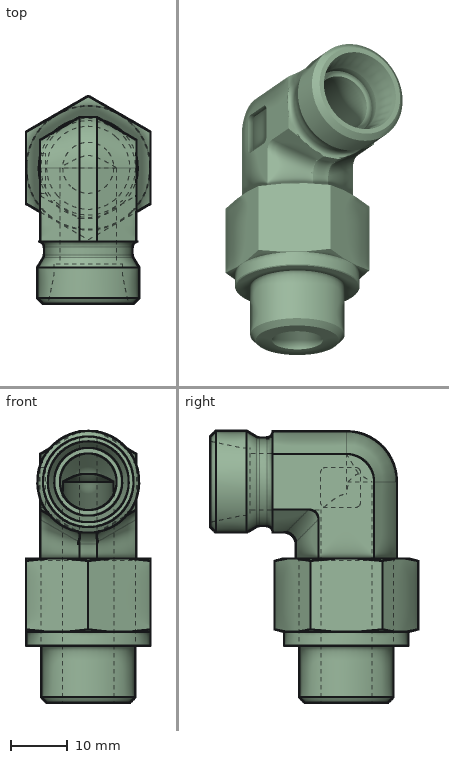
import cadquery as cq
import math


HEX_HALF_SECTOR = math.radians(30)

TOLERANCE = 1e-4

BODY_WIDTH = 17.0
CORNER_FLAT = 3.0
INNER_BEND_RADIUS = 2.0
SHOULDER_Y = -13.0

END_Y = -24.0
END_DIAMETER = 18.0
END_CHAMFER = 1.0
GROOVE_DIAMETER = 15.7
GROOVE_FILLET = 1.0
CONE_BACK_END_Y = -17.6
CONE_BACK_ANGLE = math.radians(30)
SEAT_MOUTH_DIAMETER = 14.3
SEAT_HALF_ANGLE = math.radians(12)
TUBE_DIAMETER = 12.0
TUBE_DEPTH = 7.0

INLET_BORE = 10.0
STUD_BORE = 9.0
DRILL_HALF_ANGLE = math.radians(59)

STUD_END_Z = -39.0
STUD_DIAMETER = 16.66
STUD_CHAMFER = 1.0

PANEL_SIZE = 7.1
PANEL_CORNER_RADIUS = 1.0
PANEL_DEPTH = 1.0
PANEL_CENTER = (-1.0, -1.0)

NUT_WIDTH = 22.0
NUT_TOP_Z = -13.5
NUT_HEX_BOTTOM_Z = -26.5
NUT_BOTTOM_Z = -29.0
NUT_FACE_DIAMETER = 21.9
NUT_CHAMFER_ANGLE = math.radians(15)
COLLAR_DIAMETER = 22.0
COLLAR_CHAMFER = 0.15
NUT_MOUTH_DIAMETER = 17.5


INLET_PLANE = cq.Plane(origin=(0, 0, 0), xDir=(0, 0, 1), normal=(-1, 0, 0))
STUD_PLANE = cq.Plane.named("YZ")


def turned_about_y(profile):
    """Revolve an open (radius, y) profile, once closed, around the Y axis."""
    return profile.close().revolve(360, (0, 0), (0, 1))


def turned_about_z(points):
    """Revolve a polygon of (radius, z) points around the Z axis."""
    return cq.Workplane(STUD_PLANE).polyline(points).close().revolve(360, (0, 0), (0, 1))


def body_section_half():
    """Corner points of the section half on the outer side of the bend."""
    half_width = BODY_WIDTH / 2
    side_edge = half_width * math.tan(HEX_HALF_SECTOR)
    half_flat = CORNER_FLAT / 2
    tip = 2 * side_edge - half_flat * math.tan(HEX_HALF_SECTOR)
    return [(half_width, side_edge), (half_flat, tip), (-half_flat, tip), (-half_width, side_edge)]


def make_elbow_block():
    """Two legs, the rounded outer bend and the filleted inner mitre."""
    upper = body_section_half()
    section = upper + [(-x, -y) for x, y in upper]
    half_width = BODY_WIDTH / 2
    bend_section = [(half_width, 0)] + upper + [(-half_width, 0)]

    flare_end_y = SHOULDER_Y - GROOVE_FILLET
    inlet_leg = cq.Workplane("XZ").polyline(section).close().extrude(-flare_end_y)
    stud_leg = cq.Workplane("XY").polyline(section).close().extrude(NUT_TOP_Z)
    bend = cq.Workplane("XY").polyline(bend_section).close().revolve(90, (0, 0), (1, 0))
    block = inlet_leg.union(stud_leg).union(bend).clean()

    mitre_edges = [
        edge for edge in block.edges().vals()
        if all(v.Y < 0 and abs(v.Y - v.Z) < TOLERANCE for v in edge.Vertices())
    ]
    return block.newObject(mitre_edges).fillet(INNER_BEND_RADIUS)


def make_flare_cutter():
    """Ring that rounds the end of the inlet leg down into the groove."""
    groove = GROOVE_DIAMETER / 2
    flare_end_y = SHOULDER_Y - GROOVE_FILLET
    return turned_about_y(
        cq.Workplane(INLET_PLANE)
        .moveTo(groove + GROOVE_FILLET, SHOULDER_Y)
        .radiusArc((groove, flare_end_y), -GROOVE_FILLET)
        .lineTo(BODY_WIDTH, flare_end_y)
        .lineTo(BODY_WIDTH, SHOULDER_Y)
    )


def make_tube_end():
    """Groove, back cone and chamfered cylinder of the tube end."""
    outer = END_DIAMETER / 2
    groove = GROOVE_DIAMETER / 2
    cone_foot_y = CONE_BACK_END_Y + (outer - groove) / math.tan(CONE_BACK_ANGLE)
    tangent = GROOVE_FILLET * math.tan(CONE_BACK_ANGLE / 2)
    fillet_end = (
        groove + tangent * math.sin(CONE_BACK_ANGLE),
        cone_foot_y - tangent * math.cos(CONE_BACK_ANGLE),
    )
    return turned_about_y(
        cq.Workplane(INLET_PLANE)
        .moveTo(0, SHOULDER_Y)
        .lineTo(groove, SHOULDER_Y)
        .lineTo(groove, cone_foot_y + tangent)
        .radiusArc(fillet_end, -GROOVE_FILLET)
        .lineTo(outer, CONE_BACK_END_Y)
        .lineTo(outer, END_Y + END_CHAMFER)
        .lineTo(outer - END_CHAMFER, END_Y)
        .lineTo(0, END_Y)
    )


def make_inlet_bore():
    """Cone seat, tube socket and drilled bore along the Y axis."""
    mouth = SEAT_MOUTH_DIAMETER / 2
    tube = TUBE_DIAMETER / 2
    bore = INLET_BORE / 2
    seat_end_y = END_Y + (mouth - tube) / math.tan(SEAT_HALF_ANGLE)
    socket_end_y = END_Y + TUBE_DEPTH
    points = [
        (0, END_Y),
        (mouth, END_Y),
        (tube, seat_end_y),
        (tube, socket_end_y),
        (bore, socket_end_y),
        (bore, 0),
        (0, bore / math.tan(DRILL_HALF_ANGLE)),
    ]
    return turned_about_y(cq.Workplane(INLET_PLANE).polyline(points))


def make_stud_bore():
    """Drilled bore along the Z axis."""
    bore = STUD_BORE / 2
    return turned_about_z([
        (0, STUD_END_Z),
        (bore, STUD_END_Z),
        (bore, 0),
        (0, bore / math.tan(DRILL_HALF_ANGLE)),
    ])


def make_stud():
    """Round stud with a chamfered end."""
    radius = STUD_DIAMETER / 2
    return turned_about_z([
        (0, NUT_TOP_Z),
        (radius, NUT_TOP_Z),
        (radius, STUD_END_Z + STUD_CHAMFER),
        (radius - STUD_CHAMFER, STUD_END_Z),
        (0, STUD_END_Z),
    ])


def make_panel_cutter():
    """Shallow rounded square recess in the -X flat."""
    return (
        cq.Workplane("YZ", origin=(-BODY_WIDTH / 2, 0, 0))
        .center(*PANEL_CENTER)
        .rect(PANEL_SIZE, PANEL_SIZE)
        .extrude(PANEL_DEPTH)
        .edges("|X")
        .fillet(PANEL_CORNER_RADIUS)
    )


def make_elbow():
    return (
        make_elbow_block()
        .cut(make_flare_cutter())
        .union(make_tube_end())
        .union(make_stud())
        .cut(make_inlet_bore())
        .cut(make_stud_bore())
        .cut(make_panel_cutter())
    )


def make_nut():
    """Chamfered hexagon, collar and bore that closes around the stud."""
    corner_diameter = NUT_WIDTH / math.cos(HEX_HALF_SECTOR)
    corner = corner_diameter / 2
    face = NUT_FACE_DIAMETER / 2
    drop = (corner - face) * math.tan(NUT_CHAMFER_ANGLE)
    hexagon = (
        cq.Workplane("XY", origin=(0, 0, NUT_HEX_BOTTOM_Z))
        .polygon(6, corner_diameter)
        .extrude(NUT_TOP_Z - NUT_HEX_BOTTOM_Z)
        .rotate((0, 0, 0), (0, 0, 1), math.degrees(HEX_HALF_SECTOR))
    )
    chamfer_envelope = turned_about_z([
        (0, NUT_TOP_Z),
        (face, NUT_TOP_Z),
        (corner, NUT_TOP_Z - drop),
        (corner, NUT_HEX_BOTTOM_Z + drop),
        (face, NUT_HEX_BOTTOM_Z),
        (0, NUT_HEX_BOTTOM_Z),
    ])
    collar = (
        cq.Workplane("XY", origin=(0, 0, NUT_BOTTOM_Z))
        .circle(COLLAR_DIAMETER / 2)
        .extrude(NUT_HEX_BOTTOM_Z - NUT_BOTTOM_Z)
        .faces("<Z")
        .chamfer(COLLAR_CHAMFER)
    )
    stud = STUD_DIAMETER / 2
    mouth = NUT_MOUTH_DIAMETER / 2
    bore = turned_about_z([
        (0, NUT_TOP_Z),
        (mouth, NUT_TOP_Z),
        (stud, NUT_TOP_Z - (mouth - stud)),
        (stud, NUT_BOTTOM_Z),
        (0, NUT_BOTTOM_Z),
    ])
    return hexagon.intersect(chamfer_envelope).union(collar).cut(bore)


elbow = make_elbow()
nut = make_nut()

result = cq.Compound.makeCompound([elbow.val(), nut.val()])